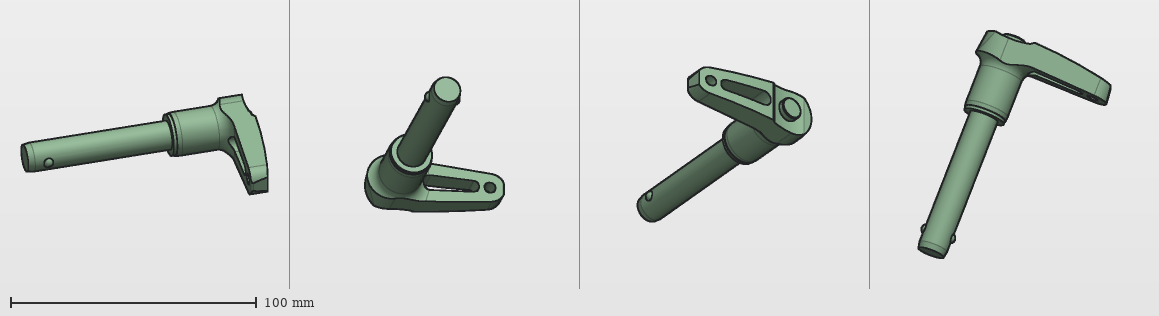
import cadquery as cq
import math


shank_radius = 6.0
tip_radius = 5.55
tip_length = 2.7
ball_radius = 2.2
ball_reach = 7.3
ball_height = 8.4

hub_radius = 9.1
collar_radius = 8.6
taper_radius = 8.9
collar_bottom = 60.6
taper_bottom = 62.0
hub_bottom = 64.0
flare_start = 79.6
flare_radius = 5.3
flare_top = flare_start + flare_radius

button_radius = 4.7
button_top = 95.7
button_chamfer = 0.4

head_radius = 10.1
head_x = -2.6
arm_end_radius = 6.3
arm_end_x = 38.5

heel_bottom_x = -12.5
heel_top_x = -11.4
heel_top = 93.8
dip_half_width = 7.5
dip_bottom = 92.7
hump_x = 9.1
hump_top = 94.9
crown_x = 23.2
crown_y = 93.9
arm_tip_top_x = 43.8
arm_tip_top = 90.4
arm_tip_bottom_x = 44.6
arm_tip_bottom = 83.3
arm_root_x = 12.1
arm_root_bottom = flare_top
tip_edge_radius = 0.8
heel_face_radius = 12.1

slot_root_x = 13.7
slot_root_radius = 3.35
slot_end_x = 31.5
slot_end_radius = 2.5
lanyard_hole_x = arm_end_x
lanyard_hole_radius = 2.3

cut_height = 2 * button_top


def tapered_prism(x_large, r_large, x_small, r_small):
    """Prism along Y whose outline is two circles joined by tangent lines."""
    lean = math.asin((r_large - r_small) / (x_small - x_large))

    def tangent_point(x, r, side):
        return (x + r * math.sin(lean), side * r * math.cos(lean))

    return (
        cq.Workplane("XZ")
        .moveTo(*tangent_point(x_large, r_large, 1))
        .lineTo(*tangent_point(x_small, r_small, 1))
        .threePointArc((x_small + r_small, 0), tangent_point(x_small, r_small, -1))
        .lineTo(*tangent_point(x_large, r_large, -1))
        .threePointArc((x_large - r_large, 0), tangent_point(x_large, r_large, 1))
        .close()
        .extrude(-cut_height)
    )


def make_heel_trim():
    """Large cylinder leaning with the heel, rounding the back of the head."""
    lean_per_height = (heel_top_x - heel_bottom_x) / (heel_top - arm_root_bottom)
    heel_base_x = heel_bottom_x - lean_per_height * arm_root_bottom
    axis = cq.Vector(lean_per_height, 1, 0)
    trim = cq.Solid.makeCylinder(
        heel_face_radius,
        cut_height,
        cq.Vector(heel_base_x + heel_face_radius, 0, 0),
        axis,
    )
    arm_side = cq.Workplane("XY").box(
        cut_height, cut_height, cut_height, centered=(False, False, True)
    )
    return arm_side.union(cq.Workplane(obj=trim))


def make_arm():
    """Side profile of head and arm, as a slab wider than the handle."""
    return (
        cq.Workplane("XY")
        .moveTo(heel_bottom_x - head_radius, arm_root_bottom)
        .lineTo(heel_bottom_x - head_radius, heel_top)
        .lineTo(-dip_half_width, heel_top)
        .threePointArc((0, dip_bottom), (dip_half_width, heel_top))
        .lineTo(hump_x, hump_top)
        .threePointArc((crown_x, crown_y), (arm_tip_top_x, arm_tip_top))
        .lineTo(arm_tip_bottom_x, arm_tip_bottom)
        .lineTo(arm_root_x, arm_root_bottom)
        .close()
        .extrude(2 * head_radius, both=True)
        .edges("|Z and (>X or (>>X[-2]))")
        .fillet(tip_edge_radius)
    )


def make_flare():
    """Concave flare that blends the hub into the underside of the handle."""
    arc_center_x = hub_radius + flare_radius
    arc_offset = flare_radius * math.sqrt(0.5)
    return (
        cq.Workplane("XY")
        .moveTo(0, flare_start)
        .lineTo(hub_radius, flare_start)
        .threePointArc(
            (arc_center_x - arc_offset, flare_start + arc_offset),
            (arc_center_x, flare_top),
        )
        .lineTo(0, flare_top)
        .close()
        .revolve(360, (0, 0, 0), (0, 1, 0))
    )


def make_handle():
    plan = tapered_prism(head_x, head_radius, arm_end_x, arm_end_radius)
    slot = tapered_prism(slot_root_x, slot_root_radius, slot_end_x, slot_end_radius)
    hole = (
        cq.Workplane("XZ")
        .center(lanyard_hole_x, 0)
        .circle(lanyard_hole_radius)
        .extrude(-cut_height)
    )
    body = make_arm().union(make_flare()).intersect(plan).intersect(make_heel_trim())
    return body.cut(slot).cut(hole)


def make_pin_and_hub():
    return (
        cq.Workplane("XY")
        .polyline(
            [
                (0, 0),
                (tip_radius, 0),
                (shank_radius, tip_length),
                (shank_radius, collar_bottom),
                (collar_radius, collar_bottom),
                (collar_radius, taper_bottom),
                (taper_radius, taper_bottom),
                (hub_radius, hub_bottom),
                (hub_radius, flare_start),
                (button_radius, flare_start),
                (button_radius, button_top - button_chamfer),
                (button_radius - button_chamfer, button_top),
                (0, button_top),
            ]
        )
        .close()
        .revolve(360, (0, 0, 0), (0, 1, 0))
    )


def make_balls():
    ball_x = ball_reach - ball_radius
    return (
        cq.Workplane("XY")
        .pushPoints([(-ball_x, ball_height), (ball_x, ball_height)])
        .sphere(ball_radius)
    )


result = make_pin_and_hub().union(make_handle()).union(make_balls())